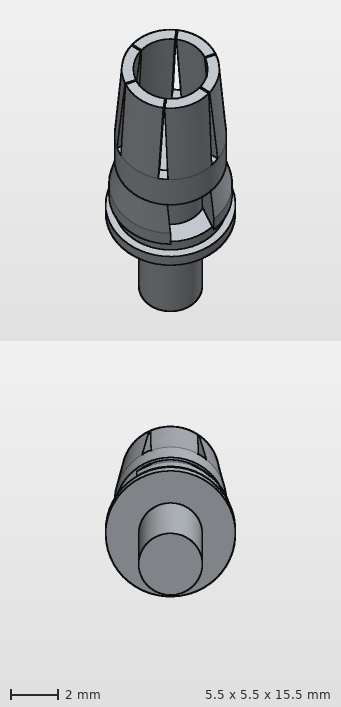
import cadquery as cq

TOTAL_HEIGHT = 15.5
FLANGE_BOTTOM = 5.21
FLANGE_TOP = 5.83
SHOULDER_TOP = 6.43
CLIP_BOTTOM = 6.53
CLIP_CONE_BOTTOM = 7.32
COLLAR_BOTTOM = 9.0
BORE_FLOOR = 9.44
COLLAR_TOP = 10.82

PIN_DIAMETER = 2.7
FLANGE_DIAMETER = 5.5
SHOULDER_DIAMETER = 4.8
NECK_DIAMETER = 3.0
COLLAR_DIAMETER = 4.75
TINE_TIP_DIAMETER = 4.14
BORE_DIAMETER = 3.81
BORE_MOUTH_DIAMETER = 3.15

SLOT_COUNT = 6
SLOT_BOTTOM_WIDTH = 0.42
SLOT_TOP_WIDTH = 0.06
FIRST_SLOT_ANGLE = 30.0

CLIP_DIAMETER = 5.22
CLIP_TOP_DIAMETER = 4.53
CLIP_GAP_WIDTH = 1.98


def revolve_profile(points):
    """Revolve a closed (radius, height) outline about the Z axis."""
    return cq.Workplane("XZ").polyline(points).close().revolve(360, (0, 0), (0, 1))


def make_contact_blank():
    """Pin, flange, shoulder, neck and socket before boring and slotting."""
    return revolve_profile([
        (0, 0),
        (PIN_DIAMETER / 2, 0),
        (PIN_DIAMETER / 2, FLANGE_BOTTOM),
        (FLANGE_DIAMETER / 2, FLANGE_BOTTOM),
        (FLANGE_DIAMETER / 2, FLANGE_TOP),
        (SHOULDER_DIAMETER / 2, FLANGE_TOP),
        (SHOULDER_DIAMETER / 2, SHOULDER_TOP),
        (NECK_DIAMETER / 2, SHOULDER_TOP),
        (NECK_DIAMETER / 2, COLLAR_BOTTOM),
        (COLLAR_DIAMETER / 2, COLLAR_BOTTOM),
        (COLLAR_DIAMETER / 2, COLLAR_TOP),
        (TINE_TIP_DIAMETER / 2, TOTAL_HEIGHT),
        (0, TOTAL_HEIGHT),
    ])


def make_socket_bore():
    """Cylindrical bore inside the collar, narrowing between the tines."""
    return revolve_profile([
        (0, BORE_FLOOR),
        (BORE_DIAMETER / 2, BORE_FLOOR),
        (BORE_DIAMETER / 2, COLLAR_TOP),
        (BORE_MOUTH_DIAMETER / 2, TOTAL_HEIGHT),
        (0, TOTAL_HEIGHT),
    ])


def make_slot(angle):
    """Slot from the axis outwards, wide at the collar and narrow at the tips."""
    return (
        cq.Workplane("YZ")
        .polyline([
            (-SLOT_BOTTOM_WIDTH / 2, COLLAR_TOP),
            (SLOT_BOTTOM_WIDTH / 2, COLLAR_TOP),
            (SLOT_TOP_WIDTH / 2, TOTAL_HEIGHT),
            (-SLOT_TOP_WIDTH / 2, TOTAL_HEIGHT),
        ])
        .close()
        .extrude(COLLAR_DIAMETER)
        .rotate((0, 0, 0), (0, 0, 1), angle)
    )


def make_contact():
    body = make_contact_blank().cut(make_socket_bore())
    for index in range(SLOT_COUNT):
        angle = FIRST_SLOT_ANGLE + index * 360 / SLOT_COUNT
        body = body.cut(make_slot(angle))
    return body


def make_clip():
    """Split ring around the neck, tapering up to the collar."""
    ring = revolve_profile([
        (NECK_DIAMETER / 2, CLIP_BOTTOM),
        (CLIP_DIAMETER / 2, CLIP_BOTTOM),
        (CLIP_DIAMETER / 2, CLIP_CONE_BOTTOM),
        (CLIP_TOP_DIAMETER / 2, COLLAR_BOTTOM),
        (NECK_DIAMETER / 2, COLLAR_BOTTOM),
    ])
    gap = cq.Workplane("XY").workplane(offset=CLIP_BOTTOM).box(
        CLIP_DIAMETER,
        CLIP_GAP_WIDTH,
        COLLAR_BOTTOM - CLIP_BOTTOM,
        centered=(False, True, False),
    )
    return ring.cut(gap)


contact = make_contact()
clip = make_clip()

result = cq.Compound.makeCompound([contact.solids().val(), clip.solids().val()])